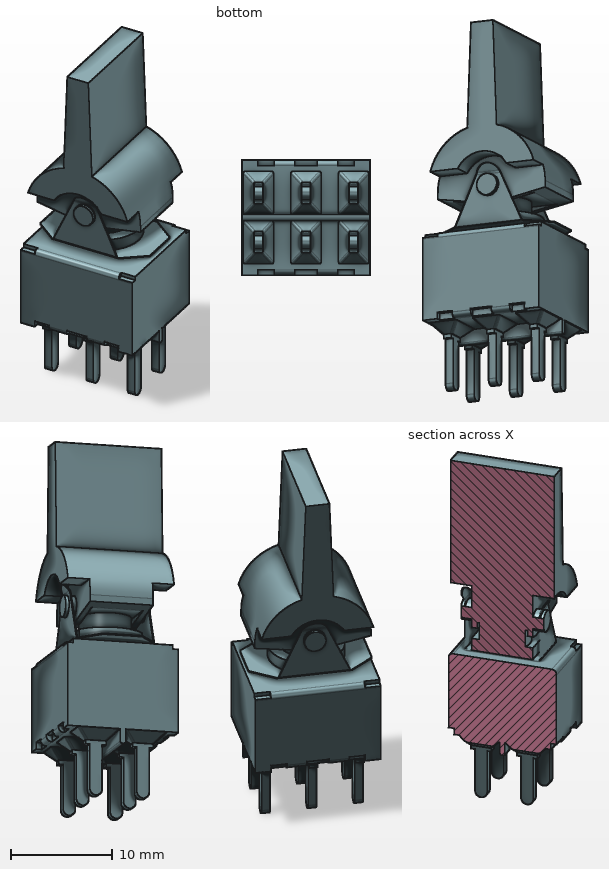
import cadquery as cq
import math

TOTAL_HEIGHT = 36.5

HOUSING_LENGTH = 12.7
HOUSING_WIDTH = 11.42
HOUSING_BOTTOM = 6.6
HOUSING_TOP = 15.45
SHEET_DEPTH = 0.6
FRAME_LENGTH = 9.52
FRAME_BOTTOM = 7.25
FRAME_TOP_RADIUS = 0.5
CORNER_STEP = 0.4

CRIMP_LENGTH = 2.0
CRIMP_SPACING = 4.27
CRIMP_RADIUS = 0.55

RIB_WIDTH = 0.6
RIB_BOTTOM = 5.15
RIB_RADIUS = 0.22

TERMINAL_PITCH_X = 4.7
TERMINAL_PITCH_Y = 4.85
TERMINAL_THICKNESS = 0.85
TERMINAL_WIDTH = 1.28
SHOULDER_WIDTH = 2.1
SHOULDER_BOTTOM = 5.15
MOUNT_TOP_LENGTH = 3.0
MOUNT_TOP_WIDTH = 4.3
MOUNT_BOTTOM_LENGTH = 0.95
MOUNT_BOTTOM = 5.55
MOUNT_CORNER_RADIUS = 0.33

BRACKET_BOTTOM = 16.1
BRACKET_SHEET = 0.1
PLATE_TOP = BRACKET_BOTTOM + BRACKET_SHEET
BRACKET_WIDTH = 8.03
BRACKET_BEND_RADIUS = 0.2
PLATE_LENGTH = 12.48
PLATE_END_WIDTH = 4.0
EAR_BASE_LENGTH = 7.3
EAR_TOP_LENGTH = 2.55
EAR_BEND_HEIGHT = 21.42
EAR_TOP = 22.3
EAR_FLARE_ANGLE = 30.0
EAR_BEND_RADIUS = 0.45

COLLAR_DIAMETER = 7.65
COLLAR_WIDTH = 6.5
COLLAR_TOP = 17.45
NECK_DIAMETER = 5.2

PIVOT_HEIGHT = 20.15
PIVOT_DIAMETER = 2.2
PIVOT_LENGTH = 8.72
LEVER_WIDTH = 10.95
LEVER_RADIUS = 5.87
LEVER_RIM_BOTTOM = 19.45
LEVER_KEEL = 18.43
HANDLE_TOP_LENGTH = 2.4
HANDLE_ROOT_LENGTH = 3.2
HUB_WIDTH = 6.5
LOBE_BOTTOM = 21.75
EAR_CLEARANCE_RADIUS = 3.1
SLOT_WIDTH = 5.25
SLOT_CEILING = 19.2


def box(length, width, bottom, top, x=0, y=0):
    """Box centred on (x, y) between two heights."""
    return (
        cq.Workplane("XY", origin=(x, y, bottom))
        .rect(length, width)
        .extrude(top - bottom)
    )


def along_y(outline, width):
    """Extrude an XZ outline symmetrically about the mid-plane Y = 0."""
    return outline.extrude(width / 2, both=True)


def housing_block():
    """Block with rounded side panels between four lower corner posts."""
    block = box(HOUSING_LENGTH, HOUSING_WIDTH, HOUSING_BOTTOM, HOUSING_TOP)
    block = block.faces(">Z").edges("|X").fillet(FRAME_TOP_RADIUS)
    post_length = (HOUSING_LENGTH - FRAME_LENGTH) / 2
    post_x = (FRAME_LENGTH + post_length) / 2
    sheet_y = (HOUSING_WIDTH - SHEET_DEPTH) / 2
    for side in (-1, 1):
        block = block.cut(
            box(FRAME_LENGTH, SHEET_DEPTH, HOUSING_BOTTOM, FRAME_BOTTOM, y=side * sheet_y)
        )
        for end in (-1, 1):
            block = block.cut(
                box(
                    post_length, SHEET_DEPTH, HOUSING_TOP - CORNER_STEP, HOUSING_TOP,
                    end * post_x, side * sheet_y,
                )
            )
    return block


def crimp_tab(x, side):
    """Tab bent from a side panel toward the underside of the housing."""
    sheet_y = (HOUSING_WIDTH - SHEET_DEPTH) / 2
    tab = box(CRIMP_LENGTH, SHEET_DEPTH, HOUSING_BOTTOM, FRAME_BOTTOM, x, side * sheet_y)
    outer_edge = tab.faces("<Z").edges(">Y" if side > 0 else "<Y")
    return outer_edge.fillet(CRIMP_RADIUS)


def terminal_rib():
    """Full-length rib with a rounded lower edge."""
    rib = box(HOUSING_LENGTH, RIB_WIDTH, RIB_BOTTOM, HOUSING_BOTTOM)
    return rib.faces("<Z").edges("|X").fillet(RIB_RADIUS)


def terminal(x, y):
    """Tapered mount, shouldered blade and half-round tip."""
    mount = (
        cq.Workplane("XY", origin=(x, y, MOUNT_BOTTOM))
        .rect(MOUNT_BOTTOM_LENGTH, SHOULDER_WIDTH)
        .workplane(offset=HOUSING_BOTTOM - MOUNT_BOTTOM)
        .rect(MOUNT_TOP_LENGTH, MOUNT_TOP_WIDTH)
        .loft()
        .faces("not |Z").edges("not #Z").fillet(MOUNT_CORNER_RADIUS)
    )
    tip_radius = TERMINAL_WIDTH / 2
    blade = (
        cq.Workplane("YZ", origin=(x, y, 0))
        .moveTo(-tip_radius, SHOULDER_BOTTOM)
        .lineTo(-tip_radius, tip_radius)
        .threePointArc((0, 0), (tip_radius, tip_radius))
        .lineTo(tip_radius, SHOULDER_BOTTOM)
        .close()
        .extrude(TERMINAL_THICKNESS / 2, both=True)
    )
    shoulder = box(TERMINAL_THICKNESS, SHOULDER_WIDTH, SHOULDER_BOTTOM, MOUNT_BOTTOM, x, y)
    return mount.union(shoulder).union(blade)


def make_base():
    base = housing_block()
    for side in (-1, 1):
        for end in (-1, 1):
            base = base.union(crimp_tab(end * CRIMP_SPACING / 2, side))
    base = base.union(terminal_rib())
    for column in (-1, 0, 1):
        for row in (-1, 1):
            base = base.union(
                terminal(column * TERMINAL_PITCH_X, row * TERMINAL_PITCH_Y / 2)
            )
    return base


def sheet_section():
    """Bent sheet of constant section: flat floor, upright sides and flared lips."""
    half_width = BRACKET_WIDTH / 2
    flare = (EAR_TOP - EAR_BEND_HEIGHT) * math.tan(math.radians(EAR_FLARE_ANGLE))
    right_outer = [
        (half_width, BRACKET_BOTTOM),
        (half_width, EAR_BEND_HEIGHT),
        (half_width + flare, EAR_TOP),
    ]
    right_inner = [
        (half_width + flare - BRACKET_SHEET, EAR_TOP),
        (half_width - BRACKET_SHEET, EAR_BEND_HEIGHT),
        (half_width - BRACKET_SHEET, PLATE_TOP),
    ]
    right_side = right_outer + right_inner
    left_side = [(-y, z) for y, z in reversed(right_side)]
    sheet = (
        cq.Workplane("YZ")
        .polyline(right_side + left_side)
        .close()
        .extrude(PLATE_LENGTH / 2, both=True)
    )
    sheet = sheet.faces("<Z").edges("|X").fillet(BRACKET_BEND_RADIUS)
    lip_bends = cq.selectors.BoxSelector(
        (-PLATE_LENGTH, -half_width - flare / 2, EAR_BEND_HEIGHT - BRACKET_SHEET),
        (PLATE_LENGTH, half_width + flare / 2, EAR_BEND_HEIGHT + BRACKET_SHEET),
    )
    return sheet.edges("|X").edges(lip_bends).fillet(EAR_BEND_RADIUS)


def bracket():
    """Octagonal plate and two triangular ears, trimmed from the bent sheet."""
    half_width = BRACKET_WIDTH / 2
    half_plate = PLATE_LENGTH / 2
    half_end = PLATE_END_WIDTH / 2
    half_base = EAR_BASE_LENGTH / 2
    half_top = EAR_TOP_LENGTH / 2
    plate_blank = (
        cq.Workplane("XY", origin=(0, 0, BRACKET_BOTTOM))
        .polyline([
            (half_plate, -half_end), (half_plate, half_end),
            (half_base, half_width), (-half_base, half_width),
            (-half_plate, half_end), (-half_plate, -half_end),
            (-half_base, -half_width), (half_base, -half_width),
        ])
        .close()
        .extrude(BRACKET_SHEET)
    )
    ear_blank = along_y(
        cq.Workplane("XZ")
        .moveTo(-half_base, PLATE_TOP)
        .lineTo(-half_top, EAR_BEND_HEIGHT)
        .threePointArc((0, EAR_TOP), (half_top, EAR_BEND_HEIGHT))
        .lineTo(half_base, PLATE_TOP)
        .close(),
        2 * BRACKET_WIDTH,
    )
    return sheet_section().intersect(plate_blank.union(ear_blank))


def bushing():
    """Collar with two side flats, and the round neck above it."""
    collar = (
        cq.Workplane("XY", origin=(0, 0, PLATE_TOP))
        .circle(COLLAR_DIAMETER / 2)
        .extrude(COLLAR_TOP - PLATE_TOP)
        .intersect(box(COLLAR_DIAMETER, COLLAR_WIDTH, PLATE_TOP, COLLAR_TOP))
    )
    neck = (
        cq.Workplane("XY", origin=(0, 0, COLLAR_TOP))
        .circle(NECK_DIAMETER / 2)
        .extrude(SLOT_CEILING - COLLAR_TOP)
    )
    return collar.union(neck)


def pivot_pin():
    """Pin through the hub and both ears, joined to them as one solid."""
    return along_y(
        cq.Workplane("XZ").center(0, PIVOT_HEIGHT).circle(PIVOT_DIAMETER / 2), PIVOT_LENGTH
    )


def lever():
    """Paddle handle on a rounded rocker; the rocker narrows to a hub between the ears."""
    root_x = HANDLE_ROOT_LENGTH / 2
    root_z = PIVOT_HEIGHT + math.sqrt(LEVER_RADIUS**2 - root_x**2)
    top_x = HANDLE_TOP_LENGTH / 2
    arc_x = LEVER_RADIUS * math.sqrt(0.5)
    arc_z = PIVOT_HEIGHT + arc_x
    outline = (
        cq.Workplane("XZ")
        .moveTo(0, LEVER_KEEL)
        .lineTo(LEVER_RADIUS, LEVER_RIM_BOTTOM)
        .lineTo(LEVER_RADIUS, PIVOT_HEIGHT)
        .threePointArc((arc_x, arc_z), (root_x, root_z))
        .lineTo(top_x, TOTAL_HEIGHT)
        .lineTo(-top_x, TOTAL_HEIGHT)
        .lineTo(-root_x, root_z)
        .threePointArc((-arc_x, arc_z), (-LEVER_RADIUS, PIVOT_HEIGHT))
        .lineTo(-LEVER_RADIUS, LEVER_RIM_BOTTOM)
        .close()
    )
    body = along_y(outline, LEVER_WIDTH)
    rocker_length = 2 * LEVER_RADIUS

    ear_clearance = box(rocker_length, LEVER_WIDTH, BRACKET_BOTTOM, LOBE_BOTTOM).union(
        along_y(cq.Workplane("XZ").center(0, PIVOT_HEIGHT).circle(EAR_CLEARANCE_RADIUS), LEVER_WIDTH)
    )
    hub = box(rocker_length, HUB_WIDTH, BRACKET_BOTTOM, TOTAL_HEIGHT)
    slot = box(rocker_length, SLOT_WIDTH, BRACKET_BOTTOM, SLOT_CEILING)
    return body.cut(ear_clearance.cut(hub)).cut(slot)


def make_actuator():
    return lever().union(bushing()).union(pivot_pin()).union(bracket())


base = make_base()
actuator = make_actuator()
result = cq.Compound.makeCompound([base.solids().val(), actuator.solids().val()])